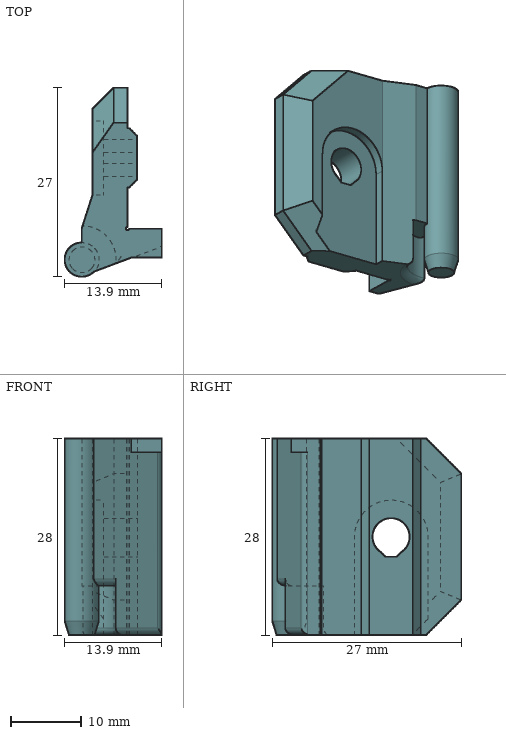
import cadquery as cq
import math


height = 28.0
pin_radius = 2.45
edge_radius = 1.0

tip_height = 2.0
tip_radius = 1.83

plate_left = 1.53
plate_thickness = 5.0
plate_right = plate_left + plate_thickness
plate_end = 24.5
plate_corner_cut = 5.0
plate_chamfer = 3.0

arm_end = 11.4
arm_back = 4.43
slope_pin_x = 1.73
slope_pin_y = -math.sqrt(pin_radius**2 - slope_pin_x**2)
lip_start = 7.05
lip_front = 0.27
lip_height = 2.0
slope_gradient = (lip_front - slope_pin_y) / (lip_start - slope_pin_x)
slope_end_y = slope_pin_y + slope_gradient * (arm_end - slope_pin_x)

clearance_radius = 4.87
clearance_height = 7.0

hole_y = 14.5
hole_z = height / 2
hole_radius = 2.625
hole_flat_drop = 2.85
hole_flat_half_width = 0.8
recess_radius = 5.25
recess_depth = 1.5

wall_slant_y = 4.5
wall_bend_y = hole_y - recess_radius

rib_height = 1.35
rib_step = 0.23
rib_half_width = 4.24

relief_radius = 0.22


def arm_block(bottom):
    """Arm and root of the plate, from `bottom` up, with the lower edge of the sloped face rounded."""
    outline = [
        (0, 0),
        (0, wall_slant_y),
        (plate_left, wall_bend_y),
        (plate_right, wall_bend_y),
        (plate_right, arm_back),
        (arm_end, arm_back),
        (arm_end, slope_end_y),
        (slope_pin_x, slope_pin_y),
    ]
    block = cq.Workplane("XY").workplane(offset=bottom).polyline(outline).close().extrude(height - bottom)
    slope_middle_x = (slope_pin_x + arm_end) / 2
    slope_middle_y = (slope_pin_y + slope_end_y) / 2
    end_middle = (arm_end, slope_end_y, (bottom + height) / 2)
    slope_middle = (slope_middle_x, slope_middle_y, bottom)
    round_bottom = block.edges(cq.NearestToPointSelector(slope_middle)).fillet(edge_radius)
    round_end = block.edges(cq.NearestToPointSelector(end_middle)).fillet(edge_radius)
    return round_bottom.intersect(round_end)


def plate():
    """Plate with its two far corners cut and the left edge along that end chamfered."""
    cut_start = plate_end - plate_corner_cut
    outline = [
        (arm_back, 0),
        (cut_start, 0),
        (plate_end, plate_corner_cut),
        (plate_end, height - plate_corner_cut),
        (cut_start, height),
        (arm_back, height),
    ]
    body = cq.Workplane("YZ").workplane(offset=plate_left).polyline(outline).close().extrude(plate_thickness)
    cut_middle = (cut_start + plate_end) / 2
    rim_points = [
        (plate_left, cut_middle, plate_corner_cut / 2),
        (plate_left, plate_end, height / 2),
        (plate_left, cut_middle, height - plate_corner_cut / 2),
    ]
    rim = body.edges(cq.NearestToPointSelector(rim_points[0]))
    for point in rim_points[1:]:
        rim = rim.add(body.edges(cq.NearestToPointSelector(point)))
    return rim.chamfer(plate_chamfer)


def rib():
    """Full-height rib with 45 degree flanks on short steps."""
    flank = rib_height - rib_step
    top_half_width = rib_half_width - flank
    outline = [
        (plate_right, hole_y - rib_half_width),
        (plate_right + rib_step, hole_y - rib_half_width),
        (plate_right + rib_height, hole_y - top_half_width),
        (plate_right + rib_height, hole_y + top_half_width),
        (plate_right + rib_step, hole_y + rib_half_width),
        (plate_right, hole_y + rib_half_width),
    ]
    return cq.Workplane("XY").polyline(outline).close().extrude(height)


def pin():
    """Full-height pin with a tapered tip."""
    profile = [
        (0, 0),
        (tip_radius, 0),
        (pin_radius, tip_height),
        (pin_radius, height),
        (0, height),
    ]
    return cq.Workplane("XZ").polyline(profile).close().revolve(360, (0, 0), (0, 1))


def lip():
    """Square-fronted lip at the top of the arm."""
    return (
        cq.Workplane("XY")
        .workplane(offset=height - lip_height)
        .center(lip_start, lip_front)
        .rect(arm_end - lip_start, arm_back - lip_front, centered=False)
        .extrude(lip_height)
    )


def pin_clearance():
    """Round cutter about the pin axis, flared at the bottom to round the edge it leaves.

    It reaches above the clearance by the edge radius, to the top of the round over the clearance.
    """
    top = clearance_height + edge_radius
    flare = clearance_radius + edge_radius
    diagonal = edge_radius * math.sqrt(0.5)
    return (
        cq.Workplane("XZ")
        .lineTo(flare, 0)
        .threePointArc((flare - diagonal, edge_radius - diagonal), (clearance_radius, edge_radius))
        .lineTo(clearance_radius, top)
        .lineTo(0, top)
        .close()
        .revolve(360, (0, 0), (0, 1))
    )


def recess():
    """Arched recess in the left face of the plate, open at the bottom."""
    return (
        cq.Workplane("YZ")
        .workplane(offset=plate_left)
        .moveTo(hole_y - recess_radius, 0)
        .lineTo(hole_y - recess_radius, hole_z)
        .threePointArc((hole_y, hole_z + recess_radius), (hole_y + recess_radius, hole_z))
        .lineTo(hole_y + recess_radius, 0)
        .close()
        .extrude(recess_depth)
    )


def hole():
    """Round hole along X with a flat-bottomed notch below it, its sides at 45 degrees."""
    side_end = (hole_flat_drop + hole_flat_half_width) / 2
    notch_outline = [
        (hole_y - hole_flat_half_width, hole_z - hole_flat_drop),
        (hole_y - side_end, hole_z - side_end),
        (hole_y + side_end, hole_z - side_end),
        (hole_y + hole_flat_half_width, hole_z - hole_flat_drop),
    ]
    bore = cq.Workplane("YZ").center(hole_y, hole_z).circle(hole_radius).extrude(arm_end)
    notch = cq.Workplane("YZ").polyline(notch_outline).close().extrude(arm_end)
    return bore.union(notch)


def corner_relief():
    """Small round groove along the inner corner."""
    return cq.Workplane("XY").center(plate_right, arm_back).circle(relief_radius).extrude(height)


body = arm_block(0).union(plate()).union(rib())
body = body.cut(pin_clearance())
body = body.union(arm_block(clearance_height))
body = body.union(pin()).union(lip())
result = body.cut(recess()).cut(hole()).cut(corner_relief())